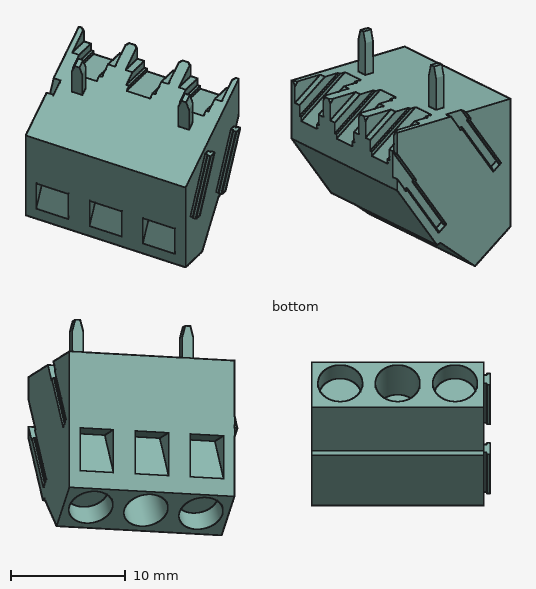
import cadquery as cq
import math

pole_count = 3
pole_pitch = 5.0
body_width = pole_count * pole_pitch
body_depth = 12.5
body_top = 14.8
tilt = 35.0
front_bottom = 2.75
back_bottom = 9.32
back_slope_length = 7.65
notch_y, notch_z = 7.75, 3.2

pin_width, pin_thickness = 1.0, 0.85
pin_top = 18.8
pin_taper, pin_tip_width = 1.0, 0.45

window_width, window_height, window_bottom = 3.0, 3.8, 4.27

hole_diameter, hole_depth = 3.9, 4.51
hole_z = 1.45
screw_diameter, screw_recess = 3.7, 1.92

pocket_steps = [(4.0, 2.8), (2.7, 4.25), (2.2, 4.83)]
corner_x, corner_y, corner_z = 0.23, 0.32, 0.41

joint_y, joint_z = 1.49, 8.7
joint_count, joint_spacing = 2, 7.37
joint_length = 6.02
groove_depth, groove_head, groove_neck = 0.65, 1.35, 0.77
groove_lip = 0.141
groove_flare_start, groove_flare_end = 0.26, 0.35
entry_length = 7.52
rail_height, rail_head, rail_neck = 0.58, 1.2, 0.86
rail_flare_start, rail_flare_end = 0.2, 0.3
rail_chamfer = 0.05

sin_tilt = math.sin(math.radians(tilt))
cos_tilt = math.cos(math.radians(tilt))
tan_tilt = math.tan(math.radians(tilt))
pole_centers = [(i + 0.5) * pole_pitch for i in range(pole_count)]
outer_poles = [pole_centers[0], pole_centers[-1]]
tip_y = front_bottom / tan_tilt


def prism_along_x(points, x_start, length):
    """Extrude a (y, z) outline towards +X."""
    return cq.Workplane("YZ", origin=(x_start, 0, 0)).polyline(points).close().extrude(length)


def make_body():
    outline = [
        (0, body_top),
        (0, front_bottom),
        (tip_y, 0),
        (notch_y, notch_z),
        (body_depth - back_slope_length * sin_tilt, back_bottom - back_slope_length * cos_tilt),
        (body_depth, back_bottom),
        (body_depth, body_top),
    ]
    return prism_along_x(outline, 0, body_width)


def pocket_cutter(center_x, width, depth):
    """Wedge open to the top and back, with its floor falling towards the back."""
    outline = [
        (body_depth - depth, body_top),
        (body_depth, body_top),
        (body_depth, body_top - depth * tan_tilt),
    ]
    return prism_along_x(outline, center_x - width / 2, width)


def fin_corner_cutter(pocket_edge, outward):
    """Tetrahedron at the top back corner of a fin; outward (+1 or -1) points into the fin."""
    corner = cq.Vector(pocket_edge, body_depth, body_top)
    along_x = corner + cq.Vector(outward * corner_x, 0, 0)
    along_y = corner - cq.Vector(0, corner_y, 0)
    along_z = corner - cq.Vector(0, 0, corner_z)
    triangles = [
        (corner, along_x, along_y),
        (corner, along_y, along_z),
        (corner, along_z, along_x),
        (along_x, along_y, along_z),
    ]
    faces = [cq.Face.makeFromWires(cq.Wire.makePolygon(points, close=True)) for points in triangles]
    return cq.Workplane(cq.Solid.makeSolid(cq.Shell.makeShell(faces)))


def cut_pockets(body):
    mouth_width = pocket_steps[0][0]
    for x in pole_centers:
        for width, depth in pocket_steps:
            body = body.cut(pocket_cutter(x, width, depth))
        for outward in (-1, 1):
            body = body.cut(fin_corner_cutter(x + outward * mouth_width / 2, outward))
    return body


def window_cutter(center_x):
    """Wedge with a level ceiling and a floor rising along the screw direction."""
    window_top = window_bottom + window_height
    outline = [
        (0, window_bottom),
        (0, window_top),
        (window_height * tan_tilt, window_top),
    ]
    return prism_along_x(outline, center_x - window_width / 2, window_width)


def underside_cylinder(center_x, diameter, start, end):
    """Cylinder square to the front underside, between two depths below it."""
    mouth = cq.Vector(center_x, tip_y - hole_z / tan_tilt, hole_z)
    inward = cq.Vector(0, sin_tilt, cos_tilt)
    return cq.Workplane(
        cq.Solid.makeCylinder(diameter / 2, end - start, mouth + inward * start, inward)
    )


def make_pin(center_x):
    half, half_tip = pin_width / 2, pin_tip_width / 2
    shoulder = pin_top - pin_taper
    outline = [
        (-half, body_top),
        (-half, shoulder),
        (-half_tip, pin_top),
        (half_tip, pin_top),
        (half, shoulder),
        (half, body_top),
    ]
    back_y = (body_depth + pin_thickness) / 2
    plane = cq.Workplane("XZ", origin=(center_x, back_y, 0))
    return plane.polyline(outline).close().extrude(pin_thickness)


def joint_prism(index, side_x, half_outline, start, length):
    """Extrude a section along a joint.

    half_outline lists (distance from the side towards +X, half width); start is measured
    from the lower end of the joint.
    """
    origin = cq.Vector(
        side_x,
        joint_y + index * joint_spacing * cos_tilt + start * sin_tilt,
        joint_z - index * joint_spacing * sin_tilt + start * cos_tilt,
    )
    plane = cq.Plane(origin=origin, xDir=(1, 0, 0), normal=(0, sin_tilt, cos_tilt))
    mirrored = [(x, -half) for x, half in reversed(half_outline)]
    return cq.Workplane(plane).polyline(half_outline + mirrored).close().extrude(length)


def groove_cutter(index):
    neck, head = groove_neck / 2, groove_head / 2
    slot_section = [
        (0, neck + groove_lip),
        (groove_lip, neck),
        (groove_flare_start, neck),
        (groove_flare_end, head),
        (groove_depth, head),
    ]
    entry_section = [(0, head), (groove_depth, head)]
    slot = joint_prism(index, 0, slot_section, 0, joint_length)
    return slot.union(joint_prism(index, 0, entry_section, joint_length, entry_length))


def make_rail(index):
    neck, head = rail_neck / 2, rail_head / 2
    section = [
        (0, neck),
        (rail_flare_start, neck),
        (rail_flare_end, head),
        (rail_height - rail_chamfer, head),
        (rail_height, head - rail_chamfer),
    ]
    return joint_prism(index, body_width, section, 0, joint_length)


result = cut_pockets(make_body())

for x in pole_centers:
    result = result.cut(window_cutter(x))
    result = result.cut(underside_cylinder(x, hole_diameter, 0, hole_depth))

for x in outer_poles:
    result = result.union(underside_cylinder(x, screw_diameter, screw_recess, hole_depth))
    result = result.union(make_pin(x))

for i in range(joint_count):
    result = result.cut(groove_cutter(i))
    result = result.union(make_rail(i))